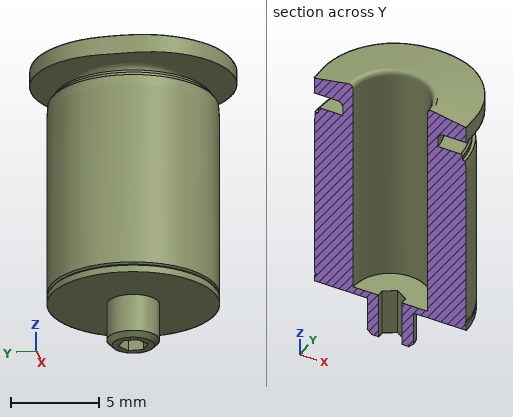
import cadquery as cq
import math

total_height = 17.4
overall_width = 9.8

head_length = 11.8
head_thickness = 1.5
cone_angle = 10.0
rim_fillet = 0.2
seam_angle = 45.0

neck_diameter = 6.16
neck_height = 0.9
neck_fillet = 0.35

body_diameter = overall_width
shoulder_diameter = 9.31
shoulder_height = 0.4
shoulder_chamfer_width = 0.1
shoulder_chamfer_height = 0.17
taper_diameter = 9.7
taper_height = 0.62

collar_height = 0.4
groove_depth = 0.1
groove_width = 2 * groove_depth

pin_diameter = 3.0
pin_length = 2.5
pin_chamfer = 0.3

bore_diameter = 4.76
bore_mouth_fillet = 0.3
hex_sides = 6
hex_across_flats = 1.5

collar_bottom = pin_length
groove_bottom = collar_bottom + collar_height
groove_middle = groove_bottom + groove_depth
groove_top = groove_bottom + groove_width
head_bottom = total_height - head_thickness
body_top = head_bottom - neck_height
shoulder_bottom = body_top - shoulder_height
taper_bottom = shoulder_bottom - taper_height
bore_floor = groove_middle


def quarter_arc_inset(radius):
    """Distance of a quarter arc's midpoint from each of the two sides it is tangent to."""
    return radius * (1 - math.sqrt(0.5))


def make_head():
    """Slot-shaped plate whose top is a cone with a rounded outer rim."""
    flat_radius = bore_diameter / 2 + bore_mouth_fillet
    slope = math.radians(cone_angle)
    rim_radius = head_length / 2
    fillet_center_x = rim_radius - rim_fillet
    cone_drop = (fillet_center_x - flat_radius) * math.tan(slope)
    fillet_center_z = total_height - cone_drop - rim_fillet / math.cos(slope)

    def fillet_point(angle):
        return (
            fillet_center_x + rim_fillet * math.cos(angle),
            fillet_center_z + rim_fillet * math.sin(angle),
        )

    cone_tangent_angle = math.pi / 2 - slope
    dome = (
        cq.Workplane("XZ")
        .moveTo(0, head_bottom)
        .lineTo(rim_radius, head_bottom)
        .lineTo(rim_radius, fillet_center_z)
        .threePointArc(fillet_point(cone_tangent_angle / 2), fillet_point(cone_tangent_angle))
        .lineTo(flat_radius, total_height)
        .lineTo(0, total_height)
        .close()
        .revolve(360, (0, 0), (0, 1))
    )
    dome = dome.rotate((0, 0, 0), (0, 0, 1), seam_angle)
    outline = (
        cq.Workplane("XY")
        .workplane(offset=head_bottom)
        .slot2D(head_length, overall_width, 90)
        .extrude(head_thickness)
    )
    return dome.intersect(outline)


def make_shaft():
    """Pin, collar, body and neck as one turned profile."""
    neck_radius = neck_diameter / 2
    shoulder_radius = shoulder_diameter / 2
    body_radius = body_diameter / 2
    pin_radius = pin_diameter / 2
    fillet_offset = quarter_arc_inset(neck_fillet)
    return (
        cq.Workplane("XZ")
        .moveTo(0, 0)
        .lineTo(pin_radius - pin_chamfer, 0)
        .lineTo(pin_radius, pin_chamfer)
        .lineTo(pin_radius, collar_bottom)
        .lineTo(body_radius, collar_bottom)
        .lineTo(body_radius, groove_bottom)
        .lineTo(body_radius - groove_depth, groove_middle)
        .lineTo(body_radius, groove_top)
        .lineTo(body_radius, taper_bottom)
        .lineTo(taper_diameter / 2, shoulder_bottom)
        .lineTo(shoulder_radius, shoulder_bottom)
        .lineTo(shoulder_radius, body_top - shoulder_chamfer_height)
        .lineTo(shoulder_radius - shoulder_chamfer_width, body_top)
        .lineTo(neck_radius, body_top)
        .lineTo(neck_radius, head_bottom - neck_fillet)
        .threePointArc(
            (neck_radius + fillet_offset, head_bottom - fillet_offset),
            (neck_radius + neck_fillet, head_bottom),
        )
        .lineTo(0, head_bottom)
        .close()
        .revolve(360, (0, 0), (0, 1))
    )


def make_bore():
    """Blind bore with a rounded mouth."""
    bore_radius = bore_diameter / 2
    mouth_offset = quarter_arc_inset(bore_mouth_fillet)
    return (
        cq.Workplane("XZ")
        .moveTo(0, bore_floor)
        .lineTo(bore_radius, bore_floor)
        .lineTo(bore_radius, total_height - bore_mouth_fillet)
        .threePointArc(
            (bore_radius + mouth_offset, total_height - mouth_offset),
            (bore_radius + bore_mouth_fillet, total_height),
        )
        .lineTo(0, total_height)
        .close()
        .revolve(360, (0, 0), (0, 1))
    )


def make_hex_hole():
    """Hexagonal prism through the bore floor and pin, with two corners on the Y axis."""
    across_corners = hex_across_flats / math.cos(math.pi / hex_sides)
    return (
        cq.Workplane("XY")
        .polygon(hex_sides, across_corners)
        .extrude(bore_floor)
        .rotate((0, 0, 0), (0, 0, 1), 90)
    )


result = make_shaft().union(make_head()).cut(make_bore()).cut(make_hex_hole())